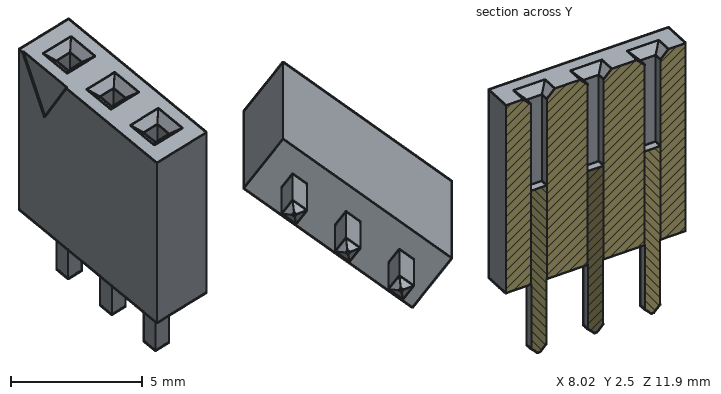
import cadquery as cq

TOTAL_HEIGHT = 11.9
HOUSING_LENGTH = 8.02
HOUSING_WIDTH = 2.5
HOUSING_HEIGHT = 8.65

CONTACT_COUNT = 3
PITCH = 2.53
CONTACT_XS = [(i - (CONTACT_COUNT - 1) / 2) * PITCH for i in range(CONTACT_COUNT)]

PIN_WIDTH = 0.69
TIP_TAPER = 0.29
TIP_WIDTH = PIN_WIDTH - 2 * TIP_TAPER
PIN_BOTTOM = HOUSING_HEIGHT - TOTAL_HEIGHT
PIN_TOP = HOUSING_HEIGHT / 2

FUNNEL_WIDTH = 1.4
FUNNEL_DEPTH = (FUNNEL_WIDTH - PIN_WIDTH) / 2

MARK_SIZE = PITCH
MARK_DEPTH = 0.05


def square_taper(x, bottom_z, bottom_width, top_z, top_width):
    """Square frustum centred on the contact at x."""
    return (
        cq.Workplane("XY", origin=(x, 0, bottom_z))
        .rect(bottom_width, bottom_width)
        .workplane(offset=top_z - bottom_z)
        .rect(top_width, top_width)
        .loft(ruled=True)
    )


def square_bar(x, bottom_z, top_z):
    """Straight bar of pin section, centred on the contact at x."""
    return cq.Workplane("XY", origin=(x, 0, bottom_z)).rect(PIN_WIDTH, PIN_WIDTH).extrude(top_z - bottom_z)


def make_mark():
    """Triangle pointing down from the top edge of the front face."""
    front_y = -HOUSING_WIDTH / 2
    return (
        cq.Workplane("XZ", origin=(CONTACT_XS[0], front_y, HOUSING_HEIGHT))
        .moveTo(-MARK_SIZE / 2, 0)
        .lineTo(MARK_SIZE / 2, 0)
        .lineTo(0, -MARK_SIZE)
        .close()
        .extrude(-MARK_DEPTH)
    )


def make_housing():
    """Block with a funnelled square passage for each contact."""
    body = cq.Workplane("XY").rect(HOUSING_LENGTH, HOUSING_WIDTH).extrude(HOUSING_HEIGHT)
    funnel_bottom = HOUSING_HEIGHT - FUNNEL_DEPTH
    for x in CONTACT_XS:
        body = body.cut(square_bar(x, 0, HOUSING_HEIGHT))
        body = body.cut(square_taper(x, funnel_bottom, PIN_WIDTH, HOUSING_HEIGHT, FUNNEL_WIDTH))
    return body.cut(make_mark())


def make_pin(x):
    """Pin filling the lower half of its passage and ending in a blunt point."""
    tip_top = PIN_BOTTOM + TIP_TAPER
    shank = square_bar(x, tip_top, PIN_TOP)
    tip = square_taper(x, PIN_BOTTOM, TIP_WIDTH, tip_top, PIN_WIDTH)
    return shank.union(tip)


housing = make_housing()
pins = [make_pin(x) for x in CONTACT_XS]

result = cq.Compound.makeCompound([housing.val(), *[pin.val() for pin in pins]])